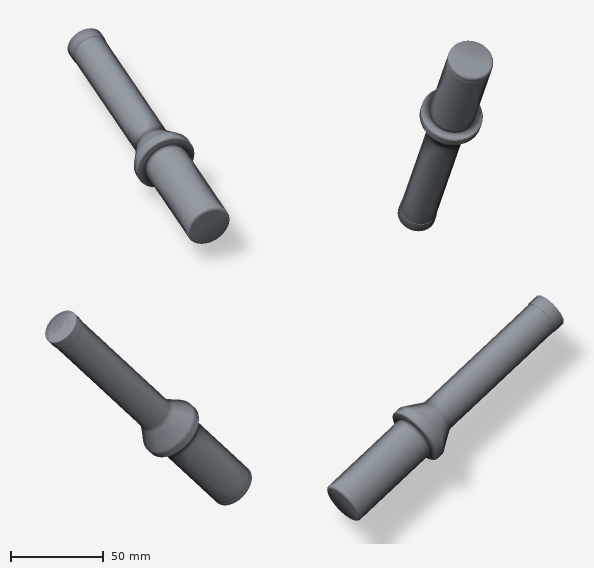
import cadquery as cq
import math

total_length = 162.0

head_radius = 20.7 / 2
head_length = 7.5
head_taper_start = 5.0
head_back_radius = 20.4 / 2
head_corner_fillet = 0.6

inner_crest_radius = 3.0
valley_radius = 4.7
outer_crest_radius = 6.8
face_break_radius = 8.6
crest_half_width = 0.2
crest_height = 0.02
dimple_depth = 0.3
valley_depth = 0.2
face_break_depth = 0.2
face_rim_depth = 0.3

neck_radius = 20.0 / 2
neck_end = 87.5
neck_blend_radius = 4.9

flange_radius = 34.0 / 2
cone_angle = math.radians(30)
flange_blend_radius = 2.9
flange_end = 106.0
flange_chamfer = 0.5

shank_radius = 25.0 / 2
relief_radius = 24.5 / 2
relief_end = 107.0
relief_taper_end = 107.9
groove_start = 158.1
groove_floor_start = 158.8
groove_end = 159.1
groove_radius = 12.3
end_fillet = 1.5


def revolve_about_x(profile):
    return profile.close().revolve(360, (0, 0, 0), (1, 0, 0))


def add_crest(profile, crest_radius):
    """Add a rounded ring crest that touches the plane X = 0."""
    return profile.lineTo(crest_height, crest_radius - crest_half_width).threePointArc(
        (0, crest_radius), (crest_height, crest_radius + crest_half_width))


def make_cutting_head():
    corner_diagonal = head_corner_fillet * (1 - math.sqrt(0.5))
    corner_end = face_rim_depth + head_corner_fillet

    profile = cq.Workplane("XY").moveTo(dimple_depth, 0)
    profile = add_crest(profile, inner_crest_radius).lineTo(valley_depth, valley_radius)
    profile = add_crest(profile, outer_crest_radius).lineTo(face_break_depth, face_break_radius)
    profile = (
        profile
        .lineTo(face_rim_depth, head_radius - head_corner_fillet)
        .threePointArc((face_rim_depth + corner_diagonal, head_radius - corner_diagonal),
                       (corner_end, head_radius))
        .lineTo(head_taper_start, head_radius)
        .lineTo(head_length, head_back_radius)
        .lineTo(head_length, 0)
    )
    return revolve_about_x(profile)


def blend_offset(radius, angle):
    """Axial and radial travel along an arc that starts parallel to X and turns by the angle."""
    return radius * math.sin(angle), radius * (1 - math.cos(angle))


def make_holder():
    mid_x, mid_r = blend_offset(neck_blend_radius, cone_angle / 2)
    end_x, end_r = blend_offset(neck_blend_radius, cone_angle)
    neck_arc_middle = (neck_end + mid_x, neck_radius + mid_r)
    cone_start = (neck_end + end_x, neck_radius + end_r)

    mid_x, mid_r = blend_offset(flange_blend_radius, cone_angle / 2)
    end_x, end_r = blend_offset(flange_blend_radius, cone_angle)
    cone_end_radius = flange_radius - end_r
    cone_end_x = cone_start[0] + (cone_end_radius - cone_start[1]) / math.tan(cone_angle)
    rim_start = cone_end_x + end_x

    profile = (
        cq.Workplane("XY")
        .moveTo(head_length, 0)
        .lineTo(head_length, neck_radius)
        .lineTo(neck_end, neck_radius)
        .threePointArc(neck_arc_middle, cone_start)
        .lineTo(cone_end_x, cone_end_radius)
        .threePointArc((rim_start - mid_x, flange_radius - mid_r), (rim_start, flange_radius))
        .lineTo(flange_end - flange_chamfer, flange_radius)
        .lineTo(flange_end, flange_radius - flange_chamfer)
    )
    shank = [
        (flange_end, relief_radius),
        (relief_end, relief_radius),
        (relief_taper_end, shank_radius),
        (groove_start, shank_radius),
        (groove_floor_start, groove_radius),
        (groove_end, groove_radius),
        (groove_end, shank_radius),
        (total_length, shank_radius),
        (total_length, 0),
    ]
    holder = revolve_about_x(profile.polyline(shank, includeCurrent=True))
    return holder.faces(">X").edges().fillet(end_fillet)


cutting_head = make_cutting_head()
holder = make_holder()
result = cq.Compound.makeCompound([cutting_head.val(), holder.val()])